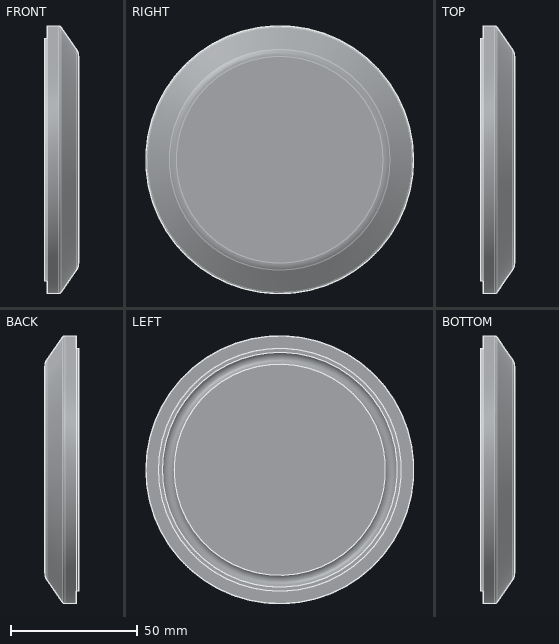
import cadquery as cq
import math

outer_radius = 53.0
total_depth = 13.5

lip_radius = 48.0
lip_depth = 1.0

rim_end = 6.1
cone_end_radius = 42.4
rim_round = 1.3
back_round = 4.9

recess_radius = 46.4
floor_radius = 41.8
groove_start = 2.0
groove_round = 2.4


def disc(radius, start, depth):
    """Solid cylinder along X, beginning at X = start."""
    return cq.Workplane("YZ").workplane(offset=start).circle(radius).extrude(depth)


def tapered_body():
    """Cylindrical rim followed by a cone, with both outer edges rounded."""
    profile = [
        (lip_depth, 0),
        (lip_depth, outer_radius),
        (rim_end, outer_radius),
        (total_depth, cone_end_radius),
        (total_depth, 0),
    ]
    body = cq.Workplane("XY").polyline(profile).close().revolve(360, (0, 0, 0), (1, 0, 0))
    body = body.faces(">X").edges().fillet(back_round)
    margin = rim_round / 2
    reach = 2 * outer_radius
    rim_edge = cq.selectors.BoxSelector(
        (rim_end - margin, -reach, -reach),
        (rim_end + margin, reach, reach),
    )
    return body.edges(rim_edge).fillet(rim_round)


def recess():
    """Round front pocket whose floor is ringed by a groove that dips below it."""
    groove_centre = recess_radius - groove_round
    floor_offset = groove_centre - floor_radius
    floor_depth = groove_start + math.sqrt(groove_round**2 - floor_offset**2)
    groove_bottom = groove_start + groove_round
    return (
        cq.Workplane("XY")
        .moveTo(0, 0)
        .lineTo(0, recess_radius)
        .lineTo(groove_start, recess_radius)
        .threePointArc((groove_bottom, groove_centre), (floor_depth, floor_radius))
        .lineTo(floor_depth, 0)
        .close()
        .revolve(360, (0, 0, 0), (1, 0, 0))
    )


lip = disc(lip_radius, 0, lip_depth)
result = tapered_body().union(lip).cut(recess())